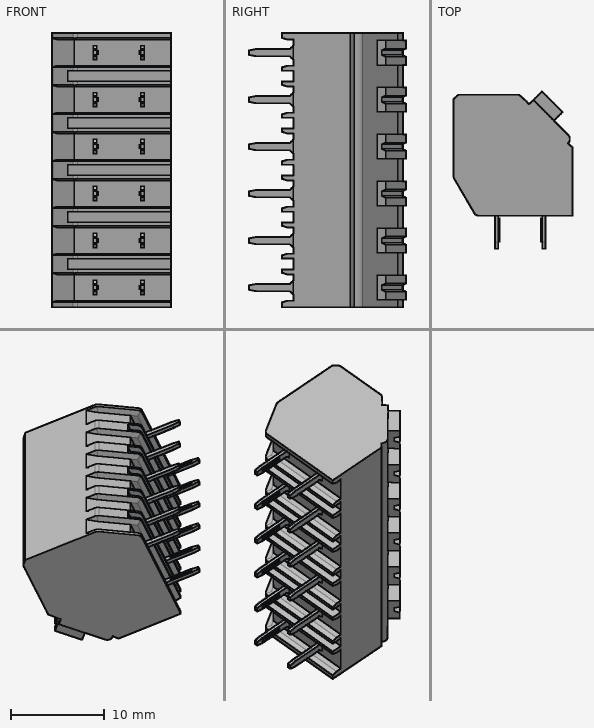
import cadquery as cq
import math

pole_count = 6
row_length = 29.2
end_pole_inset = 2.1
pole_pitch = (row_length - 2 * end_pole_inset) / (pole_count - 1)
width = 12.7
depth = 12.9

top_chamfer_x = 0.55
top_chamfer_y = 0.5
slant_x = 2.4
slant_y = 4.1
slant_low_radius = 0.58
slant_high_radius = 0.88
top_flat_end = 6.98
notch_shoulder = (7.8, 12.18)
notch_bottom = (8.03, 11.88)
ramp_start = (8.53, 12.32)
ramp_end = (12.25, 8.58)
nose_tip = (12.4, 8.15)
nose_root = (12.2, 7.7)
right_side_top = 7.27

floor_depth = 1.23
pocket_width = 2.77
lip_chamfer_z = 0.18
lip_chamfer_depth = 0.58
gap_width = 1.15

pin_centres_x = (4.6, 9.65)
pin_thickness = 0.38
pin_width = 0.8
pin_tip_width = 0.5
pin_flare_width = 1.52
pin_flare_length = 0.38
pin_taper_start = -2.75
pin_tip_y = -3.5
pin_rib_width = 0.38
pin_rib_height = 0.12
pin_rib_start = -0.25

button_length = 3.1
button_height = 1.28
button_width = 2.63
button_slot_width = 0.88
button_slot_floor_width = 0.47
button_slot_depth = 0.58

overlap = 0.3
margin = 1.45


def slant_x_at(y, shift=0.0):
    """X of the sloped corner face at height y, with the face moved by shift along Y."""
    return slant_x * (1 - (y - shift) / slant_y)


def block(x_range, y_range, z_size):
    """Box between the given X and Y limits, centred on Z = 0."""
    (x0, x1), (y0, y1) = x_range, y_range
    shape = cq.Workplane("XY").box(x1 - x0, y1 - y0, z_size, centered=(False, False, True))
    return shape.translate((x0, y0, 0))


def make_housing():
    profile = (
        cq.Workplane("XY", origin=(0, 0, -row_length / 2))
        .moveTo(slant_x, 0)
        .lineTo(width, 0)
        .lineTo(width, right_side_top)
        .lineTo(*nose_root)
        .threePointArc(nose_tip, ramp_end)
        .lineTo(*ramp_start)
        .lineTo(*notch_bottom)
        .lineTo(*notch_shoulder)
        .lineTo(top_flat_end, depth)
        .lineTo(top_chamfer_x, depth)
        .lineTo(0, depth - top_chamfer_y)
        .lineTo(0, slant_y)
        .close()
    )
    body = profile.extrude(row_length)
    body = body.edges(cq.selectors.NearestToPointSelector((slant_x, 0, 0))).fillet(slant_low_radius)
    return body.edges(cq.selectors.NearestToPointSelector((0, slant_y, 0))).fillet(slant_high_radius)


def make_floor_region(z_size):
    """Everything on the pin side of the pocket floor, which follows the sloped face."""
    left_top = floor_depth + slant_y * (1 + margin / slant_x)
    return (
        cq.Workplane("XY", origin=(0, 0, -z_size / 2))
        .moveTo(-margin, left_top)
        .lineTo(slant_x_at(floor_depth, floor_depth), floor_depth)
        .lineTo(width + margin, floor_depth)
        .lineTo(width + margin, -margin)
        .lineTo(-margin, -margin)
        .close()
        .extrude(z_size)
    )


def outer_region(inset):
    """Corners of the region outside the left, sloped and pin-side faces moved inwards by inset."""
    shift = inset * math.hypot(slant_x, slant_y) / slant_x
    slant_top = slant_y + shift - inset * slant_y / slant_x
    return [
        (inset, depth),
        (inset, slant_top),
        (slant_x_at(inset, shift), inset),
        (width + margin, inset),
        (width + margin, -margin),
        (-margin, -margin),
        (-margin, depth),
    ]


def make_lip_bevel():
    """Solid that bevels the pocket wall on the +Z side of a pole."""
    return (
        cq.Workplane("XY", origin=(0, 0, pocket_width / 2))
        .polyline(outer_region(lip_chamfer_depth))
        .close()
        .workplane(offset=lip_chamfer_z)
        .polyline(outer_region(0))
        .close()
        .loft(ruled=True)
    )


def make_pocket():
    bevel = make_lip_bevel().intersect(make_floor_region(pocket_width + 2 * lip_chamfer_z))
    return make_floor_region(pocket_width).union(bevel).union(bevel.mirror("XY"))


def make_pin(x, inward):
    """Tapered pin at x with a narrow rib on the side given by inward (+1 or -1)."""
    flare_end = floor_depth - pin_flare_length
    upper_outline = [
        (floor_depth + overlap, pin_flare_width / 2),
        (floor_depth, pin_flare_width / 2),
        (flare_end, pin_width / 2),
        (pin_taper_start, pin_width / 2),
        (pin_tip_y, pin_tip_width / 2),
    ]
    lower_outline = [(y, -z) for y, z in reversed(upper_outline)]
    blade = (
        cq.Workplane("YZ", origin=(x - pin_thickness / 2, 0, 0))
        .polyline(upper_outline + lower_outline)
        .close()
        .extrude(pin_thickness)
    )
    rib_side = x + inward * (pin_thickness / 2 + pin_rib_height)
    rib = block((min(x, rib_side), max(x, rib_side)), (pin_taper_start, pin_rib_start), pin_rib_width)
    return blade.union(rib)


def make_button():
    """Slotted push button standing on the ramp, starting at its upper end."""
    ramp_x = ramp_end[0] - ramp_start[0]
    ramp_y = ramp_end[1] - ramp_start[1]
    ramp_angle = math.degrees(math.atan2(ramp_y, ramp_x))
    button = block((0, button_length), (-overlap, button_height), button_width)
    slot = (
        cq.Workplane("YZ")
        .polyline([
            (button_height, -button_slot_width / 2),
            (button_height, button_slot_width / 2),
            (button_height - button_slot_depth, button_slot_floor_width / 2),
            (button_height - button_slot_depth, -button_slot_floor_width / 2),
        ])
        .close()
        .extrude(button_length)
    )
    button = button.cut(slot)
    return button.rotate((0, 0, 0), (0, 0, 1), ramp_angle).translate((*ramp_start, 0))


pole_heights = [(i - (pole_count - 1) / 2) * pole_pitch for i in range(pole_count)]

result = make_housing()

pocket = make_pocket()
for z in pole_heights:
    result = result.cut(pocket.translate((0, 0, z)))

gap = block((-margin, width + margin), (-margin, floor_depth), gap_width)
for z in pole_heights[:-1]:
    result = result.cut(gap.translate((0, 0, z + pole_pitch / 2)))

left_pin_x, right_pin_x = pin_centres_x
pole_parts = [make_pin(left_pin_x, 1), make_pin(right_pin_x, -1), make_button()]
for z in pole_heights:
    for part in pole_parts:
        result = result.union(part.translate((0, 0, z)))